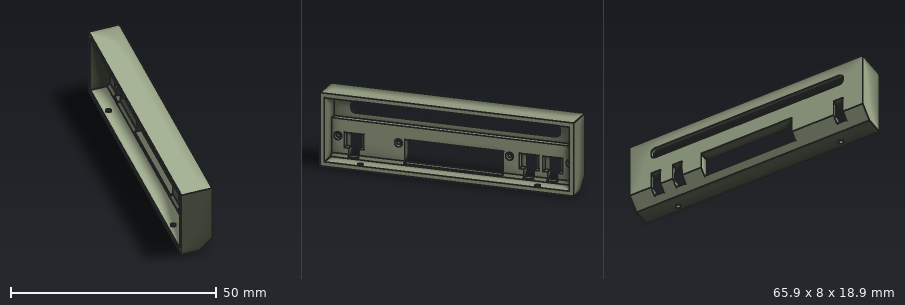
import cadquery as cq

LENGTH = 65.9
DEPTH = 8.0
HEIGHT = 18.9
WALL = 1.2
REAR_CHAMFER_RUN = 3.2
REAR_CHAMFER_RISE = 3.0

PANEL_FACE_Y = 5.1
GROOVE_FLOOR_Y = DEPTH - WALL
GROOVE_BOTTOM_Z = 10.95
GROOVE_TOP_Z = 16.7
FOOT_STRIP = 0.8

LONG_SLOT_LEFT = 5.55
LONG_SLOT_LENGTH = 54.3
LONG_SLOT_BOTTOM_Z = 12.25
LONG_SLOT_HEIGHT = 3.1
LONG_SLOT_CORNER_RADIUS = 1.3

OPENING_BOTTOM_Z = 1.5
OPENING_TOP_Z = 7.55
DISPLAY_LEFT = 20.1
DISPLAY_WIDTH = 25.6
SWITCH_WIDTH = 2.6
SWITCH_CENTERS_X = (6.95, 52.4, 58.55)

RECESS_WIDTH = 5.1
RECESS_BOTTOM_Z = 3.6
RECESS_DEPTH = 1.8

SCREW_CENTERS_X = (2.8, 18.5, 47.35, 63.05)
SCREW_Z = 6.5
SCREW_MOUTH_DIAMETER = 2.0
SCREW_DIAMETER = 1.1
SCREW_DEPTH = 2.0
COUNTERSINK_DEPTH = (SCREW_MOUTH_DIAMETER - SCREW_DIAMETER) / 2

FLOOR_HOLE_DIAMETER = 1.3
FLOOR_HOLE_INSET_X = 9.95
FLOOR_HOLE_Y = 1.5


def box_between(x_range, y_range, z_range):
    """Axis-aligned box given by its limits along X, Y and Z."""
    (x0, x1), (y0, y1), (z0, z1) = x_range, y_range, z_range
    return cq.Workplane("XY").box(x1 - x0, y1 - y0, z1 - z0, centered=False).translate((x0, y0, z0))


def housing_body():
    """Solid bar whose lower rear edge is bevelled over the full length."""
    side_profile = [
        (0, 0),
        (DEPTH - REAR_CHAMFER_RUN, 0),
        (DEPTH, REAR_CHAMFER_RISE),
        (DEPTH, HEIGHT),
        (0, HEIGHT),
    ]
    return cq.Workplane("YZ").polyline(side_profile).close().extrude(LENGTH)


def interior():
    """Cavity open at the front, with a groove and a sloped strip at the foot of the panel."""
    side_profile = [
        (0, WALL),
        (PANEL_FACE_Y - FOOT_STRIP, WALL),
        (PANEL_FACE_Y, WALL + FOOT_STRIP),
        (PANEL_FACE_Y, GROOVE_BOTTOM_Z),
        (GROOVE_FLOOR_Y, GROOVE_BOTTOM_Z),
        (GROOVE_FLOOR_Y, GROOVE_TOP_Z),
        (PANEL_FACE_Y, GROOVE_TOP_Z),
        (PANEL_FACE_Y, HEIGHT - WALL),
        (0, HEIGHT - WALL),
    ]
    cavity = cq.Workplane("YZ").polyline(side_profile).close().extrude(LENGTH - 2 * WALL)
    return cavity.translate((WALL, 0, 0))


def long_slot():
    """Rounded window cut through the groove floor."""
    slot = box_between(
        (LONG_SLOT_LEFT, LONG_SLOT_LEFT + LONG_SLOT_LENGTH),
        (PANEL_FACE_Y, DEPTH),
        (LONG_SLOT_BOTTOM_Z, LONG_SLOT_BOTTOM_Z + LONG_SLOT_HEIGHT),
    )
    return slot.edges("|Y").fillet(LONG_SLOT_CORNER_RADIUS)


def panel_opening(left, width):
    """Rectangular opening from the cavity through the rear panel."""
    foot_y = PANEL_FACE_Y - FOOT_STRIP
    return box_between((left, left + width), (foot_y, DEPTH), (OPENING_BOTTOM_Z, OPENING_TOP_Z))


def switch_cut(center_x):
    """Narrow opening together with the wider recess in the panel face."""
    opening = panel_opening(center_x - SWITCH_WIDTH / 2, SWITCH_WIDTH)
    recess = box_between(
        (center_x - RECESS_WIDTH / 2, center_x + RECESS_WIDTH / 2),
        (PANEL_FACE_Y, PANEL_FACE_Y + RECESS_DEPTH),
        (RECESS_BOTTOM_Z, OPENING_TOP_Z),
    )
    return opening.union(recess)


def screw_hole(center_x):
    """Blind hole with a 45 degree countersink at the panel face."""
    mouth = cq.Vector(center_x, PANEL_FACE_Y, SCREW_Z)
    inward = cq.Vector(0, 1, 0)
    shank = cq.Solid.makeCylinder(SCREW_DIAMETER / 2, SCREW_DEPTH, mouth, inward)
    countersink = cq.Solid.makeCone(
        SCREW_MOUTH_DIAMETER / 2, SCREW_DIAMETER / 2, COUNTERSINK_DEPTH, mouth, inward
    )
    return cq.Workplane(shank).union(cq.Workplane(countersink))


def floor_hole(center_x):
    """Round hole through the bottom wall."""
    hole = cq.Workplane("XY").circle(FLOOR_HOLE_DIAMETER / 2).extrude(WALL)
    return hole.translate((center_x, FLOOR_HOLE_Y, 0))


result = housing_body().cut(interior()).cut(long_slot())
result = result.cut(panel_opening(DISPLAY_LEFT, DISPLAY_WIDTH))
for switch_x in SWITCH_CENTERS_X:
    result = result.cut(switch_cut(switch_x))
for screw_x in SCREW_CENTERS_X:
    result = result.cut(screw_hole(screw_x))
for hole_x in (FLOOR_HOLE_INSET_X, LENGTH - FLOOR_HOLE_INSET_X):
    result = result.cut(floor_hole(hole_x))